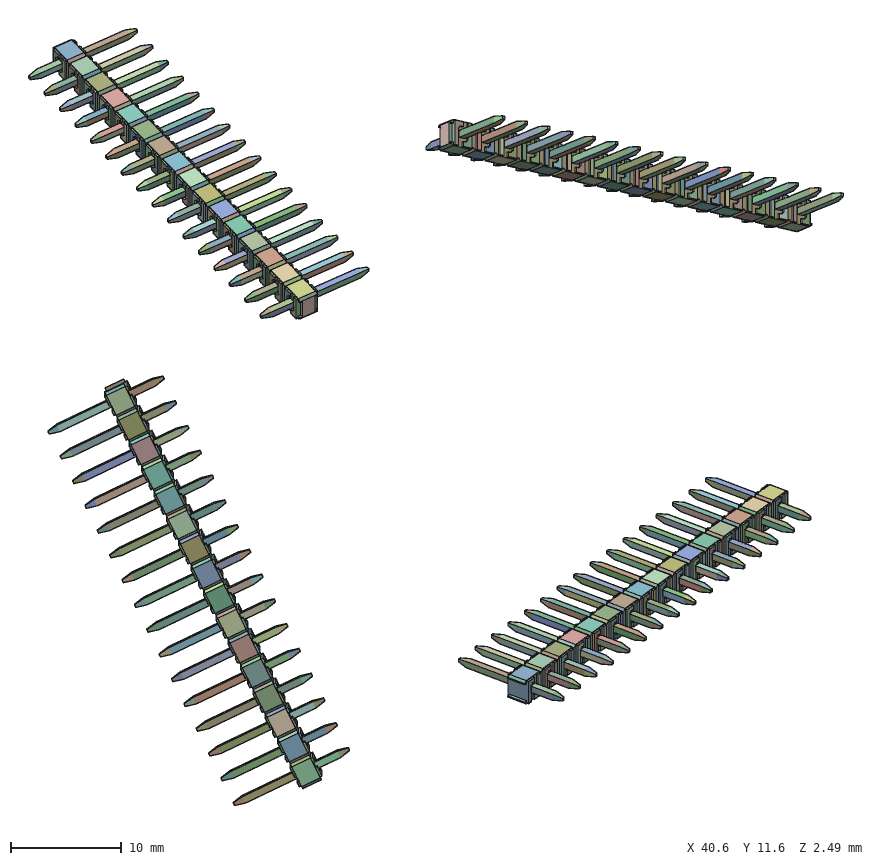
import cadquery as cq
PIN_COUNT = 16
PITCH = 2.54
PIN_WIDTH = 0.662
PIN_TIP_WIDTH = 0.28
PIN_TIP_LENGTH = 1.02
PIN_LENGTH = 11.56
PIN_REACH_BACK = 7.237

BODY_HEIGHT = 2.49
BODY_DEPTH = 1.883
NOTCH_HALF_WIDTH = 0.255
NOTCH_DEPTH = 0.26
END_BEVEL_DEPTH = 0.204
LIP_HEIGHT = 0.127
TONGUE_DEPTH = 1.38

PAD_WIDTH = 1.92
PAD_HEIGHT = 2.344
PAD_THICKNESS = 0.2
GROOVE_HALF_WIDTH = 0.528
GROOVE_HALF_HEIGHT = 0.706
GROOVE_CORNER = 0.232

ROW_LENGTH = PIN_COUNT * PITCH
ROW_END = ROW_LENGTH / 2
CELL_CENTERS = [(i - (PIN_COUNT - 1) / 2) * PITCH for i in range(PIN_COUNT)]
CELL_BORDERS = [(i - PIN_COUNT / 2) * PITCH for i in range(1, PIN_COUNT)]
BODY_TOP = BODY_HEIGHT / 2
RECESS_HEIGHT = BODY_HEIGHT - 2 * (END_BEVEL_DEPTH + LIP_HEIGHT)
GAP_WIDTH = PITCH - PAD_WIDTH


def make_notches(x, depth):
    """Cutter for a V notch in both the top and the bottom, centred on x."""
    top_notch = (
        cq.Workplane("XZ", origin=(x, BODY_DEPTH / 2, 0))
        .moveTo(-NOTCH_HALF_WIDTH, BODY_TOP)
        .lineTo(0, BODY_TOP - depth)
        .lineTo(NOTCH_HALF_WIDTH, BODY_TOP)
        .close()
        .extrude(BODY_DEPTH)
    )
    return top_notch.union(top_notch.mirror("XY"))


def make_end_block(x, depth):
    """Block between the lips of a row end, reaching in to the pad edge."""
    return cq.Workplane("XY", origin=(x, 0, 0)).box(GAP_WIDTH, depth, RECESS_HEIGHT)


def make_body():
    """Notched bar with bevelled ends, a recess at -X and a tongue at +X."""
    body = cq.Workplane("XY").box(ROW_LENGTH, BODY_DEPTH, BODY_HEIGHT)
    for x in CELL_BORDERS:
        body = body.cut(make_notches(x, NOTCH_DEPTH))
    for x in (-ROW_END, ROW_END):
        body = body.cut(make_notches(x, END_BEVEL_DEPTH))
    recess = make_end_block(-ROW_END, BODY_DEPTH)
    tongue = make_end_block(ROW_END, TONGUE_DEPTH)
    beside_tongue = make_end_block(ROW_END, BODY_DEPTH).cut(tongue)
    return body.cut(recess).cut(beside_tongue)


def make_half_pad():
    """Raised pad on the -Y face, on the -X side of the S-shaped groove."""
    left = -PAD_WIDTH / 2
    top = PAD_HEIGHT / 2
    outline = [
        (left, -top),
        (left, top),
        (0, top),
        (0, GROOVE_HALF_HEIGHT),
        (GROOVE_CORNER - GROOVE_HALF_WIDTH, GROOVE_HALF_HEIGHT),
        (-GROOVE_HALF_WIDTH, GROOVE_HALF_HEIGHT - GROOVE_CORNER),
        (-GROOVE_HALF_WIDTH, -top),
    ]
    return (
        cq.Workplane("XZ", origin=(0, -BODY_DEPTH / 2, 0))
        .polyline(outline)
        .close()
        .extrude(PAD_THICKNESS)
    )


def make_pads():
    """Four half pads of one cell: two around the groove on each Y face."""
    half_pad = make_half_pad()
    front = half_pad.union(half_pad.rotate((0, 0, 0), (0, 1, 0), 180))
    return front.union(front.rotate((0, 0, 0), (0, 0, 1), 180))


def make_pin():
    """Square pin along Y, tapered at both ends."""
    back_shoulder = PIN_REACH_BACK - PIN_TIP_LENGTH
    front_shoulder = PIN_REACH_BACK - PIN_LENGTH + PIN_TIP_LENGTH
    shaft_length = back_shoulder - front_shoulder
    shaft = (
        cq.Workplane("XZ", origin=(0, back_shoulder, 0))
        .rect(PIN_WIDTH, PIN_WIDTH)
        .extrude(shaft_length)
    )
    front_tip = (
        cq.Workplane("XZ", origin=(0, front_shoulder, 0))
        .rect(PIN_WIDTH, PIN_WIDTH)
        .workplane(offset=PIN_TIP_LENGTH)
        .rect(PIN_TIP_WIDTH, PIN_TIP_WIDTH)
        .loft(combine=True)
    )
    shaft_middle = (back_shoulder + front_shoulder) / 2
    back_tip = front_tip.mirror("XZ", (0, shaft_middle, 0))
    return shaft.union(front_tip).union(back_tip)


result = make_body()
pads = make_pads()
pin = make_pin()
for x in CELL_CENTERS:
    result = result.union(pads.translate((x, 0, 0))).union(pin.translate((x, 0, 0)))